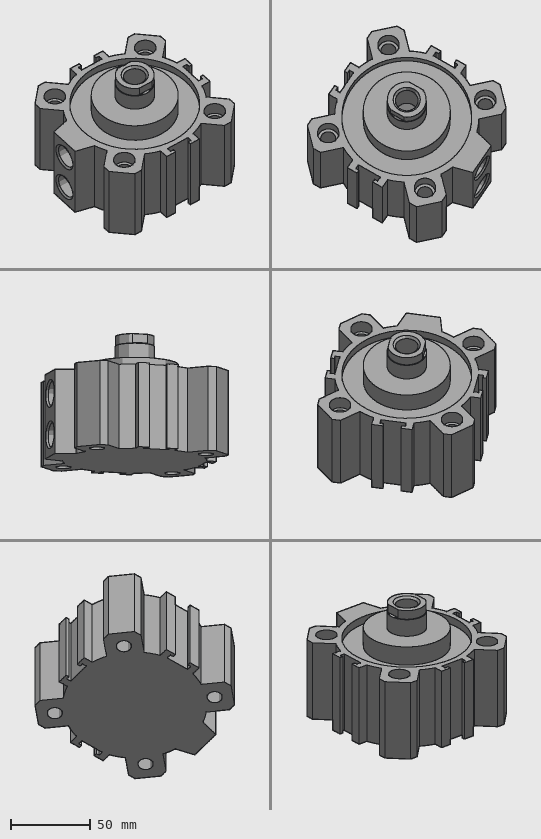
import cadquery as cq
import math

body_size = 100.0
half_size = body_size / 2
body_height = 54.0
barrel_radius = 45.5
overall_height = 79.5

lug_width = 24.0
lug_reach = 62.5
lug_angles = (45, 135, 225, 315)
bolt_offset = 36.0
bolt_diameter = 9.5
bolt_head_diameter = 13.5
bolt_head_depth = 8.6

rail_width = 26.0
slot_opening = 11.6
slot_inner_width = 16.2
slot_lip = 2.3
slot_depth = 5.4
rail_angles = (0, 90, 180)

port_face_y = -56.0
port_face_width = 22.0
port_flank_angle = 15.0
port_diameter = 15.2
port_chamfer = 1.2
port_depth = 12.0
port_spacing = 26.5
port_heights = ((body_height - port_spacing) / 2, (body_height + port_spacing) / 2)

recess_radius = 41.0
recess_depth = 5.3
recess_floor = body_height - recess_depth
collar_radius = 27.5
collar_height = 61.5

rod_radius = 12.5
rod_bottom = recess_floor
shoulder_height = 73.15
head_radius = 12.25
flats_width = 22.4
flats_bottom = 73.85
flats_floor_angle = 30.0
thread_bore_diameter = 14.2
thread_mouth_diameter = 17.1
thread_depth = 21.0
drill_point_angle = 118.0


def revolve_about_z(profile):
    """Solid of revolution from (radius, height) points."""
    return cq.Workplane("XZ").polyline(profile).close().revolve(360, (0, 0, 0), (0, 1, 0))


def make_lug(angle):
    """Bar running out along one diagonal, from the axis to the lug tip."""
    bar = cq.Workplane("XY").rect(lug_reach, lug_width).extrude(body_height)
    return bar.translate((lug_reach / 2, 0, 0)).rotate((0, 0, 0), (0, 0, 1), angle)


def make_rail(angle):
    """Bar running from the axis to one side of the square envelope."""
    bar = cq.Workplane("XY").rect(half_size, rail_width).extrude(body_height)
    return bar.translate((half_size / 2, 0, 0)).rotate((0, 0, 0), (0, 0, 1), angle)


def make_t_slot(angle):
    """Full-height T-slot: narrow mouth between two lips, wider undercut behind."""
    mouth = (
        cq.Workplane("XY")
        .center(half_size - slot_depth / 2, 0)
        .rect(slot_depth, slot_opening)
        .extrude(body_height)
    )
    undercut_depth = slot_depth - slot_lip
    undercut = (
        cq.Workplane("XY")
        .center(half_size - slot_lip - undercut_depth / 2, 0)
        .rect(undercut_depth, slot_inner_width)
        .extrude(body_height)
    )
    return mouth.union(undercut).rotate((0, 0, 0), (0, 0, 1), angle)


def make_port_block():
    """Block with flanks that spread from the port face toward the barrel."""
    half_face = port_face_width / 2
    half_root = half_face - port_face_y * math.tan(math.radians(port_flank_angle))
    outline = [
        (-half_face, port_face_y),
        (half_face, port_face_y),
        (half_root, 0),
        (-half_root, 0),
    ]
    return cq.Workplane("XY").polyline(outline).close().extrude(body_height)


def make_port(height):
    """Blind port with a chamfered mouth, revolved about its own Y axis."""
    radius = port_diameter / 2
    return (
        cq.Workplane("XY")
        .polyline([
            (0, 0),
            (radius + port_chamfer, 0),
            (radius, port_chamfer),
            (radius, port_depth),
            (0, port_depth),
        ])
        .close()
        .revolve(360, (0, 0, 0), (0, 1, 0))
        .translate((0, port_face_y, height))
    )


def make_housing():
    """Barrel with lugs, rails, ports, a recessed top and a bored rod collar."""
    barrel_and_lugs = cq.Workplane("XY").circle(barrel_radius).extrude(body_height)
    for angle in lug_angles:
        barrel_and_lugs = barrel_and_lugs.union(make_lug(angle))
    square = cq.Workplane("XY").rect(body_size, body_size).extrude(body_height)
    housing = barrel_and_lugs.intersect(square)

    for angle in rail_angles:
        housing = housing.union(make_rail(angle))
    for angle in rail_angles:
        housing = housing.cut(make_t_slot(angle))
    housing = housing.union(make_port_block())
    for height in port_heights:
        housing = housing.cut(make_port(height))

    housing = (
        housing.faces(">Z").workplane(origin=(0, 0, 0))
        .rect(2 * bolt_offset, 2 * bolt_offset, forConstruction=True)
        .vertices()
        .cboreHole(bolt_diameter, bolt_head_diameter, bolt_head_depth)
    )

    floor_plane = cq.Workplane("XY").workplane(offset=recess_floor)
    recess = floor_plane.circle(recess_radius).extrude(recess_depth)
    collar = floor_plane.circle(collar_radius).extrude(collar_height - recess_floor)
    rod_bore = (
        cq.Workplane("XY").workplane(offset=rod_bottom)
        .circle(rod_radius)
        .extrude(collar_height - rod_bottom)
    )
    return housing.cut(recess).union(collar).cut(rod_bore)


def make_rod():
    """Round rod with a chamfered shoulder, a two-flat head and a blind thread bore."""
    rod_profile = [
        (0, rod_bottom),
        (rod_radius, rod_bottom),
        (rod_radius, shoulder_height),
        (head_radius, shoulder_height + rod_radius - head_radius),
        (head_radius, overall_height),
        (0, overall_height),
    ]
    rod = revolve_about_z(rod_profile)
    for angle in (0, 180):
        rod = rod.cut(make_flat_cutter().rotate((0, 0, 0), (0, 0, 1), angle))
    return rod.cut(make_thread_bore())


def make_flat_cutter():
    """Wedge outside the +X wrench flat; its floor slopes down and outward from the flat."""
    inner_x = flats_width / 2
    outer_x = 2 * rod_radius
    floor_drop = (outer_x - inner_x) * math.tan(math.radians(flats_floor_angle))
    outline = [
        (inner_x, flats_bottom),
        (outer_x, flats_bottom - floor_drop),
        (outer_x, overall_height),
        (inner_x, overall_height),
    ]
    return cq.Workplane("XZ").polyline(outline).close().extrude(rod_radius, both=True)


def make_thread_bore():
    """Blind bore in the rod end with a chamfered mouth and a drill-point floor."""
    bore_radius = thread_bore_diameter / 2
    mouth_radius = thread_mouth_diameter / 2
    bore_floor = overall_height - thread_depth
    point_length = bore_radius / math.tan(math.radians(drill_point_angle / 2))
    bore_profile = [
        (0, bore_floor - point_length),
        (bore_radius, bore_floor),
        (bore_radius, overall_height - (mouth_radius - bore_radius)),
        (mouth_radius, overall_height),
        (0, overall_height),
    ]
    return revolve_about_z(bore_profile)


housing = make_housing()
rod = make_rod()
result = cq.Compound.makeCompound([housing.val(), rod.val()])